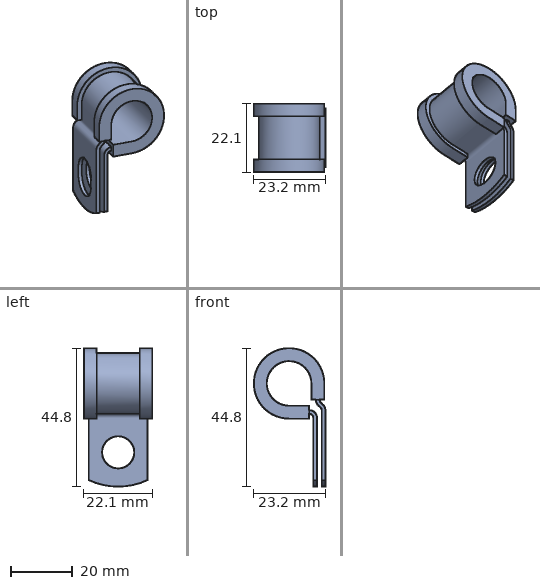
import cadquery as cq
import math

bore_radius = 7.15
cushion_radius = 11.4
cushion_length = 22.1
flange_width = 4.1
upper_end_z = -5.25
lower_end_x = 6.5

strap_thickness = 1.25
strap_outer_radius = 9.85
strap_width = 19.05
bend_inner_radius = 1.3
jog_angle = math.radians(45)
upper_leg_outer_x = 11.75

overall_height = 44.75
leg_end_z = cushion_radius - overall_height
leg_end_radius = 22.35
hole_radius = 5.15
slot_length = 12.9
hole_z = -22.25

strap_radius = strap_outer_radius - strap_thickness / 2
bend_radius = bend_inner_radius + strap_thickness / 2
lower_leg_x = lower_end_x + bend_radius
upper_leg_x = upper_leg_outer_x - strap_thickness / 2


def polar(center_x, center_z, radius, angle):
    """Point on a circle in the XZ plane, with the angle taken from +X."""
    return (center_x + radius * math.cos(angle), center_z + radius * math.sin(angle))


def loop(outer_radius, inner_radius, length):
    """Three-quarter ring with straight tangent ends, centred along Y."""
    return (
        cq.Workplane("XZ")
        .moveTo(outer_radius, upper_end_z)
        .lineTo(outer_radius, 0)
        .threePointArc(polar(0, 0, outer_radius, math.radians(135)), (0, -outer_radius))
        .lineTo(lower_end_x, -outer_radius)
        .lineTo(lower_end_x, -inner_radius)
        .lineTo(0, -inner_radius)
        .threePointArc(polar(0, 0, inner_radius, math.radians(135)), (inner_radius, 0))
        .lineTo(inner_radius, upper_end_z)
        .close()
        .extrude(length / 2, both=True)
    )


def make_cushion():
    """Loop with a full-radius flange at each end and the band flush with the strap."""
    cushion = loop(strap_outer_radius, bore_radius, cushion_length)
    flange_offset = (cushion_length - flange_width) / 2
    for side in (-1, 1):
        flange = loop(cushion_radius, bore_radius, flange_width)
        cushion = cushion.union(flange.translate((0, side * flange_offset, 0)))
    return cushion


def make_strap():
    """Sweep the strap section from the lower leg, around the loop, to the upper leg."""
    lower_bend_z = -strap_radius - bend_radius

    first_bend = (strap_radius + bend_radius, upper_end_z)
    bend_shift = bend_radius * (1 - math.cos(jog_angle))
    bend_drop = bend_radius * math.sin(jog_angle)
    slant_shift = upper_leg_x - strap_radius - 2 * bend_shift
    slant_drop = slant_shift / math.tan(jog_angle)
    jog_end_z = upper_end_z - 2 * bend_drop - slant_drop
    second_bend = (upper_leg_x - bend_radius, jog_end_z)

    path = (
        cq.Workplane("XZ")
        .moveTo(lower_leg_x, leg_end_z)
        .lineTo(lower_leg_x, lower_bend_z)
        .threePointArc(
            polar(lower_end_x, lower_bend_z, bend_radius, math.radians(45)),
            (lower_end_x, -strap_radius),
        )
        .lineTo(0, -strap_radius)
        .threePointArc(polar(0, 0, strap_radius, math.radians(135)), (strap_radius, 0))
        .lineTo(strap_radius, upper_end_z)
        .threePointArc(
            polar(*first_bend, bend_radius, math.pi + jog_angle / 2),
            polar(*first_bend, bend_radius, math.pi + jog_angle),
        )
        .lineTo(*polar(*second_bend, bend_radius, jog_angle))
        .threePointArc(
            polar(*second_bend, bend_radius, jog_angle / 2),
            (upper_leg_x, jog_end_z),
        )
        .lineTo(upper_leg_x, leg_end_z)
    )
    section = (
        cq.Workplane("XY", origin=(lower_leg_x, 0, leg_end_z))
        .rect(strap_thickness, strap_width)
    )
    return section.sweep(path)


def make_leg_envelope():
    """Block along X that rounds the leg ends and carries the bolt hole."""
    half_width = strap_width / 2
    end_rise = leg_end_radius - math.sqrt(leg_end_radius**2 - half_width**2)
    corner_z = leg_end_z + end_rise
    return (
        cq.Workplane("YZ")
        .moveTo(-half_width, cushion_radius)
        .lineTo(-half_width, corner_z)
        .threePointArc((0, leg_end_z), (half_width, corner_z))
        .lineTo(half_width, cushion_radius)
        .close()
        .moveTo(0, hole_z)
        .circle(hole_radius)
        .extrude(overall_height, both=True)
    )


def make_slot_cutter():
    """Vertical slot that lengthens the hole through the upper leg only."""
    return (
        cq.Workplane("YZ", origin=((lower_leg_x + upper_leg_x) / 2, 0, hole_z))
        .slot2D(slot_length, 2 * hole_radius, 90)
        .extrude(upper_leg_x)
    )


strap = make_strap().intersect(make_leg_envelope()).cut(make_slot_cutter())
result = make_cushion().union(strap)